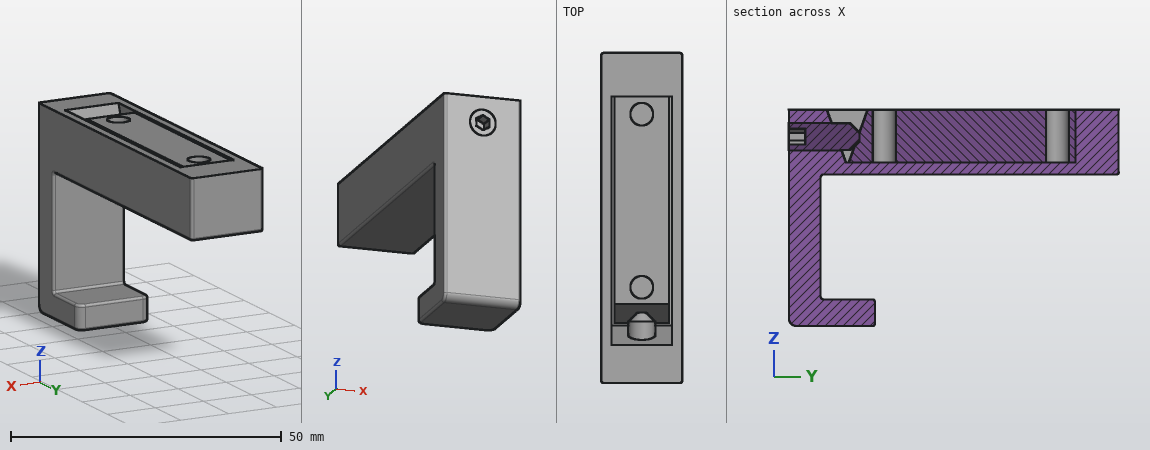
import cadquery as cq
import math


width = 15.0
length = 61.0
height = 40.0
beam_height = 12.0
arm_thickness = 6.0
lip_length = 16.0
lip_height = 5.0
edge_radius = 0.5
corner_radius = 1.5

pocket_width = 11.1
pocket_depth = 9.75
pocket_front = 7.1
pocket_floor_front = 10.6
pocket_back = 52.9

slider_width = 10.0
slider_top_front = 14.6
slider_bottom_front = 11.1
slider_hole_diameter = 4.2
slider_hole_spacing = 31.95
slider_hole_inset = 3.25

screw_radius = 2.5
screw_depth = 5.0
screw_length = 13.05
screw_tip_radius = 0.8
socket_flats = 2.5
socket_depth = 3.05

beam_bottom = height - beam_height
pocket_floor = height - pocket_depth
screw_axis_height = height - screw_depth
cone_length = screw_radius - screw_tip_radius


def extrude_across(outline, total_width):
    """Extrude a closed (Y, Z) outline symmetrically about the plane X = 0."""
    return cq.Workplane("YZ").polyline(outline).close().extrude(total_width / 2, both=True)


def crosswise_edge(y, z):
    """Selector for the edge that runs along X at the given Y and Z."""
    return cq.selectors.NearestToPointSelector((0, y, z))


def make_hook_blank():
    blank = extrude_across(
        [
            (0, 0),
            (lip_length, 0),
            (lip_length, lip_height),
            (arm_thickness, lip_height),
            (arm_thickness, beam_bottom),
            (length, beam_bottom),
            (length, height),
            (0, height),
        ],
        width,
    )
    blank = blank.edges("|X").edges(crosswise_edge(0, 0)).fillet(corner_radius)
    for inner_corner_height in (lip_height, beam_bottom):
        inner_corner = crosswise_edge(arm_thickness, inner_corner_height)
        blank = blank.edges("|X").edges(inner_corner).fillet(edge_radius)

    for side in (-1, 1):
        lip_corner = cq.selectors.NearestToPointSelector((side * width / 2, lip_length, lip_height / 2))
        blank = blank.edges("|Z").edges(lip_corner).fillet(corner_radius)

    side_edges = blank.faces("<X or >X").edges("not >Z")
    back_bottom_edge = blank.edges("|X").edges(crosswise_edge(length, beam_bottom))
    return blank.newObject(side_edges.vals() + back_bottom_edge.vals()).fillet(edge_radius)


def make_pocket():
    return extrude_across(
        [
            (pocket_front, height),
            (pocket_floor_front, pocket_floor),
            (pocket_back, pocket_floor),
            (pocket_back, height),
        ],
        pocket_width,
    )


def make_screw_envelope():
    """Solid shape of the set screw without its socket: a cylinder with a blunt cone point."""
    axis_height = screw_axis_height
    half_outline = [
        (0, axis_height),
        (0, axis_height + screw_radius),
        (screw_length - cone_length, axis_height + screw_radius),
        (screw_length, axis_height + screw_tip_radius),
        (screw_length, axis_height),
    ]
    outline = cq.Workplane("YZ").polyline(half_outline).close()
    return outline.revolve(360, (0, axis_height), (1, axis_height))


def make_hook(screw_envelope):
    return make_hook_blank().cut(make_pocket()).cut(screw_envelope)


def make_slider(screw_envelope):
    slider = extrude_across(
        [
            (slider_top_front, height),
            (slider_bottom_front, pocket_floor),
            (pocket_back, pocket_floor),
            (pocket_back, height),
        ],
        slider_width,
    )
    back_hole = pocket_back - slider_hole_inset
    holes = (
        cq.Workplane("XY", origin=(0, 0, pocket_floor))
        .pushPoints([(0, back_hole), (0, back_hole - slider_hole_spacing)])
        .circle(slider_hole_diameter / 2)
        .extrude(pocket_depth)
    )
    return slider.cut(holes).cut(screw_envelope)


def make_set_screw(screw_envelope):
    socket_corners = socket_flats / math.cos(math.radians(30))
    socket = (
        cq.Workplane("XZ", origin=(0, 0, screw_axis_height))
        .transformed(rotate=(0, 0, 90))
        .polygon(6, socket_corners)
        .extrude(-socket_depth)
    )
    return screw_envelope.cut(socket)


screw_envelope = make_screw_envelope()
hook = make_hook(screw_envelope)
slider = make_slider(screw_envelope)
set_screw = make_set_screw(screw_envelope)

result = cq.Compound.makeCompound([hook.val(), slider.val(), set_screw.val()])